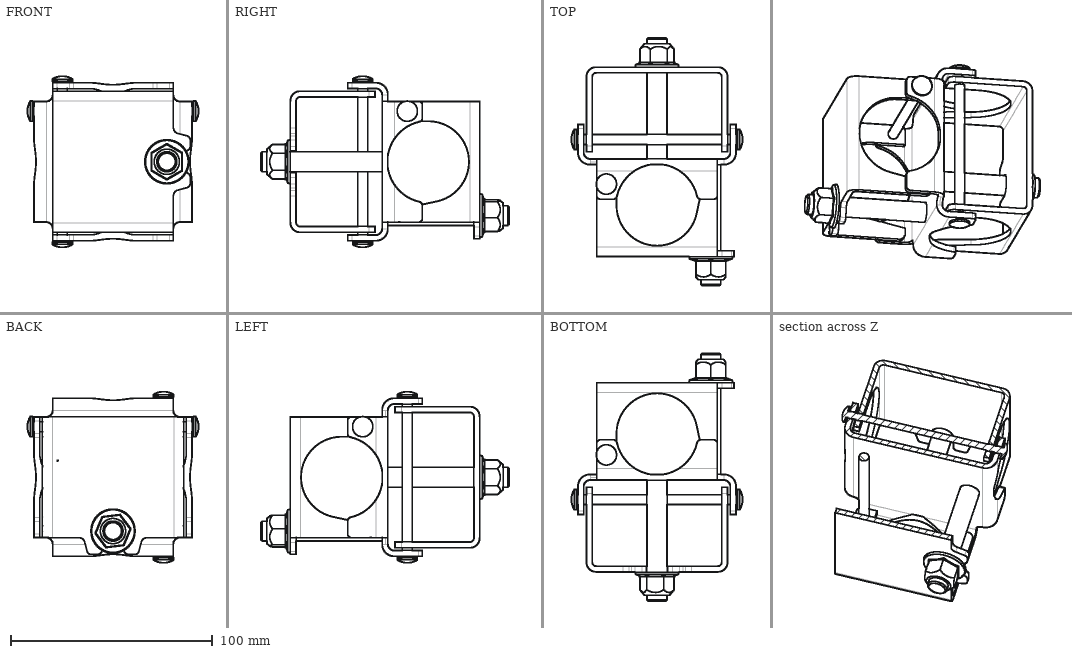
import cadquery as cq
import math

FLIP_AXIS = (1, 0, -1)

SHEET = 3.0
STRIP_WIDTH = 59.9
HALF_STRIP = STRIP_WIDTH / 2
PIPE_RADIUS = 20.0
PIPE_Y = SHEET / 2 + PIPE_RADIUS

TAB_SPAN = 78.5
TAB_END_Y = 18.6
TAB_BEND = SHEET + 3.1
TAB_CORNER = 2.0
TAB_CUT_RADIUS = 20.3
FLAT_HALF = TAB_SPAN / 2 - TAB_BEND

STRAP_SPAN = 70.1
STRAP_BACK_Y = 47.0
ARM_END_Y = 4.9
STRAP_BEND = SHEET + 2.0
ARM_CORNER = 3.1
MOUTH_ANGLE = 12
LUG_TIP = 38.3
LUG_TIP_HALF = 12.4
LUG_ANGLE = 15
LUG_ROOT_FILLET = 3.0
LUG_TIP_FILLET = 2.0
SLOT_WIDTH = 10.8
SLOT_MOUTH_FILLET = 2.2

STUD_RADIUS = 10.0 / 2
STUD_OFFSET = 26.7
STUD_TIP_Y = 61.5
STUD_CHAMFER = 0.7
NUT_HEIGHT = 11.6
NUT_FLATS = 14.9
PLINTH_FLATS = 15.5
PLINTH_HEIGHT = 2.5
NUT_END_RADIUS = 6.3
NUT_CHAMFER_ANGLE = 50
FLANGE_RADIUS = 11.0
FLANGE_RIM = 1.2
FLANGE_RIM_RADIUS = 10.6
FLANGE_HEIGHT = 2.2
FLANGE_TOP_RADIUS = 7.7
REAR_NUT_TURN = 7
FRONT_NUT_TURN = 0

PIN_RADIUS = 5.0 / 2
PIN_Y = 11.1
PIN_Z = 25.1
PIN_LENGTH = 85.0
HEAD_RADIUS = 5.0
HEAD_HEIGHT = 2.5
HEAD_RIM = 1.0


def to_front(body):
    """Turn a body of the +Y half into its place on the -Y half."""
    return body.rotate((0, 0, 0), FLIP_AXIS, 180)


def channel(span, depth, bend):
    """U-section of strip: web with its outer face at y = 0, legs reaching y = depth."""
    outer = cq.Workplane("XY").box(span, depth, STRIP_WIDTH)
    outer = outer.edges("|Z and <Y").fillet(bend)
    inner = cq.Workplane("XY").box(span - 2 * SHEET, depth, STRIP_WIDTH)
    inner = inner.edges("|Z and <Y").fillet(bend - SHEET).translate((0, SHEET, 0))
    return outer.cut(inner).translate((0, depth / 2, 0))


def pin_hole():
    """Cutter for the hinge pin, along X."""
    return cq.Workplane("YZ").center(PIN_Y, PIN_Z).circle(PIN_RADIUS).extrude(STRAP_SPAN, both=True)


def tab_pair():
    """Plate strip with two hinge tabs bent toward +Y, notched for the pipe."""
    plate_back = -SHEET / 2
    strip = channel(TAB_SPAN, TAB_END_Y - plate_back, TAB_BEND).translate((0, plate_back, 0))
    notch = cq.Workplane("YZ").center(PIPE_Y, 0).circle(TAB_CUT_RADIUS).extrude(TAB_SPAN, both=True)
    uncut_flat = cq.Workplane("XY").box(2 * FLAT_HALF, SHEET, STRIP_WIDTH)
    strip = strip.cut(notch.cut(uncut_flat))
    return strip.edges("|X and >Y").fillet(TAB_CORNER).cut(pin_hole())


def stud():
    """Plain round stud standing on the plate."""
    return (
        cq.Workplane("XZ", origin=(0, 0, -STUD_OFFSET))
        .circle(STUD_RADIUS)
        .extrude(-STUD_TIP_Y)
        .faces(">Y")
        .chamfer(STUD_CHAMFER)
    )


def centre_plate():
    """Cross-shaped plate with four hinge tabs and two welded studs."""
    flat = cq.Workplane("XY").box(2 * FLAT_HALF, SHEET, 2 * FLAT_HALF)
    corners = [(x, z) for x in (-FLAT_HALF, FLAT_HALF) for z in (-FLAT_HALF, FLAT_HALF)]
    reliefs = (
        cq.Workplane("XZ")
        .pushPoints(corners)
        .circle(FLAT_HALF - HALF_STRIP)
        .extrude(SHEET, both=True)
    )
    half = tab_pair().union(stud())
    return flat.cut(reliefs).union(half).union(to_front(half))


def arm_opening():
    """Pipe opening of the strap arms: round at the web, open at the arm ends."""
    flare = math.radians(MOUTH_ANGLE)
    tangent_y = PIPE_Y + PIPE_RADIUS * math.sin(flare)
    tangent_z = -PIPE_RADIUS * math.cos(flare)
    mouth_z = tangent_z - tangent_y * math.tan(flare)
    return (
        cq.Workplane("YZ")
        .moveTo(0, PIPE_RADIUS)
        .lineTo(PIPE_Y, PIPE_RADIUS)
        .threePointArc((PIPE_Y + PIPE_RADIUS, 0), (tangent_y, tangent_z))
        .lineTo(0, mouth_z)
        .close()
        .extrude(STRAP_SPAN, both=True)
    )


def add_lug(strap):
    """Extend the web past the strip edge with a tapered lug."""
    root_half = LUG_TIP_HALF + (LUG_TIP - HALF_STRIP) * math.tan(math.radians(LUG_ANGLE))
    tongue = (
        cq.Workplane("XZ", origin=(0, STRAP_BACK_Y, 0))
        .moveTo(-root_half, 0)
        .lineTo(-root_half, -HALF_STRIP)
        .lineTo(-LUG_TIP_HALF, -LUG_TIP)
        .lineTo(LUG_TIP_HALF, -LUG_TIP)
        .lineTo(root_half, -HALF_STRIP)
        .lineTo(root_half, 0)
        .close()
        .extrude(SHEET)
    )
    strap = strap.union(tongue)
    strap = round_web_corners(strap, root_half, -HALF_STRIP, LUG_ROOT_FILLET)
    return round_web_corners(strap, LUG_TIP_HALF, -LUG_TIP, LUG_TIP_FILLET)


def cut_slot(strap):
    """Open the stud slot through the web to the lug tip and round its mouth."""
    reach = LUG_TIP - STUD_OFFSET
    seat = cq.Workplane("XZ", origin=(0, STRAP_BACK_Y, -STUD_OFFSET))
    round_end = seat.circle(SLOT_WIDTH / 2).extrude(SHEET)
    passage = seat.center(0, -reach / 2).rect(SLOT_WIDTH, reach).extrude(SHEET)
    strap = strap.cut(round_end).cut(passage)
    return round_web_corners(strap, SLOT_WIDTH / 2, -LUG_TIP, SLOT_MOUTH_FILLET)


def round_web_corners(strap, half_spacing, z, radius):
    """Fillet the two web corners at x = +/- half_spacing and the given height."""
    for x in (-half_spacing, half_spacing):
        corner = cq.selectors.NearestToPointSelector((x, STRAP_BACK_Y - SHEET / 2, z))
        strap = strap.edges("|Y").edges(corner).fillet(radius)
    return strap


def swing_strap():
    """Swinging U-shaped strap."""
    strap = channel(STRAP_SPAN, STRAP_BACK_Y - ARM_END_Y, STRAP_BEND)
    strap = strap.rotate((0, 0, 0), (0, 0, 1), 180).translate((0, STRAP_BACK_Y, 0))
    strap = strap.cut(arm_opening())
    strap = strap.edges("|X and <Y").edges(">Z or <Z").fillet(ARM_CORNER)
    return cut_slot(add_lug(strap)).cut(pin_hole())


def flange_nut(turn):
    """Hexagon flange nut seated on the strap web, turned about its axis."""
    slope = math.tan(math.radians(NUT_CHAMFER_ANGLE))
    across_corners = 2 / math.sqrt(3)
    seat = cq.Workplane("XY").transformed(rotate=(0, 0, turn))
    hexagon = seat.polygon(6, NUT_FLATS * across_corners).extrude(NUT_HEIGHT)
    plinth = seat.polygon(6, PLINTH_FLATS * across_corners).extrude(PLINTH_HEIGHT)
    cone = (
        cq.Workplane("XZ")
        .lineTo(FLANGE_RADIUS, 0)
        .lineTo(FLANGE_RADIUS, NUT_HEIGHT - (FLANGE_RADIUS - NUT_END_RADIUS) * slope)
        .lineTo(NUT_END_RADIUS, NUT_HEIGHT)
        .lineTo(0, NUT_HEIGHT)
        .close()
        .revolve()
    )
    flange = (
        cq.Workplane("XZ")
        .lineTo(FLANGE_RADIUS, 0)
        .lineTo(FLANGE_RIM_RADIUS, FLANGE_RIM)
        .lineTo(FLANGE_TOP_RADIUS, FLANGE_HEIGHT)
        .lineTo(0, FLANGE_HEIGHT)
        .close()
        .revolve()
    )
    bore = seat.circle(STUD_RADIUS).extrude(NUT_HEIGHT)
    nut = hexagon.intersect(cone).union(plinth).union(flange).cut(bore)
    return nut.rotate((0, 0, 0), (1, 0, 0), -90).translate((0, STRAP_BACK_Y, -STUD_OFFSET))


def dome_middle(rim_x, top_x):
    """Point halfway along the head's spherical arc from rim to crown."""
    height = top_x - rim_x
    radius = (HEAD_RADIUS ** 2 + height ** 2) / (2 * height)
    half_sweep = math.asin(HEAD_RADIUS / radius) / 2
    return top_x - radius * (1 - math.cos(half_sweep)), radius * math.sin(half_sweep)


def hinge_pin():
    """Pin along X with a domed head at each end."""
    half = PIN_LENGTH / 2
    under = half - HEAD_HEIGHT
    head = (
        cq.Workplane("XY")
        .moveTo(under, 0)
        .lineTo(under, HEAD_RADIUS)
        .lineTo(under + HEAD_RIM, HEAD_RADIUS)
        .threePointArc(dome_middle(under + HEAD_RIM, half), (half, 0))
        .close()
        .revolve(360, (0, 0), (1, 0))
    )
    shank = cq.Workplane("YZ").circle(PIN_RADIUS).extrude(under, both=True)
    return shank.union(head).union(head.mirror("YZ")).translate((0, PIN_Y, PIN_Z))


def clamp_half(nut_turn):
    """Strap, hinge pin and nut of the +Y half."""
    return [swing_strap(), hinge_pin(), flange_nut(nut_turn)]


plate = centre_plate()
rear_half = clamp_half(REAR_NUT_TURN)
front_half = [to_front(body) for body in clamp_half(FRONT_NUT_TURN)]

result = cq.Compound.makeCompound([body.val() for body in [plate, *rear_half, *front_half]])